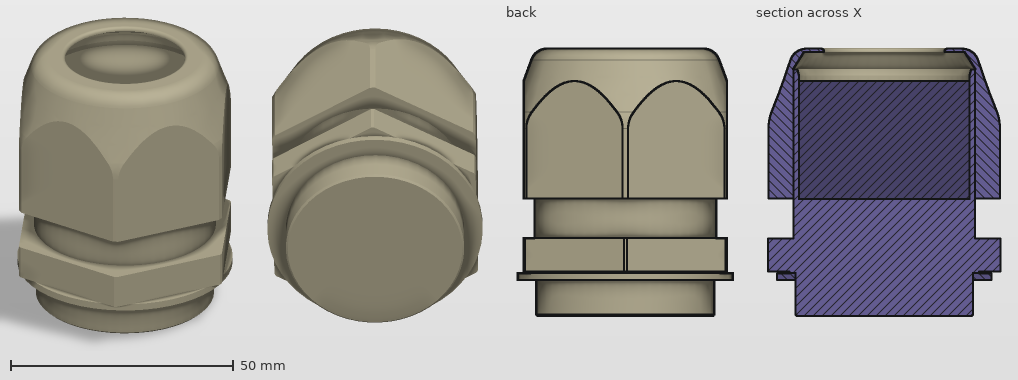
import cadquery as cq
import math

THREAD_TOP = 8.15
WASHER_TOP = 9.7
COLLAR_TOP = 10.1
FLANGE_TOP = 17.6
CAP_BOTTOM = 26.5
CAP_TOP = 60.3
PLUG_TOP = 53.1
BODY_TOP = 55.6

ACROSS_FLATS = 45.85
FLANGE_CORNER_RADIUS = 52.5 / 2
CAP_CORNER_RADIUS = 26.1

THREAD_RADIUS = 20.1
THREAD_CHAMFER = 0.4
COLLAR_RADIUS = 21.4
NECK_RADIUS = 20.5
BORE_RADIUS = 19.2
BORE_FLARE_WIDTH = 0.35
BORE_FLARE_HEIGHT = 1.45
WASHER_RADIUS = 24.25

CONE_ANGLE = math.radians(20)
SHOULDER_BOTTOM = 42.3
SHOULDER_BLEND_RADIUS = 10.75
TOP_BLEND_RADIUS = 3.9

MOUTH_RADIUS = 13.5
LIP_ROUND = 0.8
LIP_THICKNESS = 0.9
CEILING_RADIUS = 18.1


def disc(radius, bottom, top):
    return cq.Workplane("XY").workplane(offset=bottom).circle(radius).extrude(top - bottom)


def hexagon(bottom, top):
    """Hexagonal prism with flats facing +X and -X."""
    full_diameter = ACROSS_FLATS / math.cos(math.pi / 6)
    prism = cq.Workplane("XY").polygon(6, full_diameter).extrude(top - bottom)
    return prism.rotate((0, 0, 0), (0, 0, 1), 30).translate((0, 0, bottom))


def bore_flare():
    """Steep cone that widens the mouth of the bore."""
    return (
        cq.Workplane("XZ")
        .moveTo(0, BODY_TOP - BORE_FLARE_HEIGHT)
        .lineTo(BORE_RADIUS, BODY_TOP - BORE_FLARE_HEIGHT)
        .lineTo(BORE_RADIUS + BORE_FLARE_WIDTH, BODY_TOP)
        .lineTo(0, BODY_TOP)
        .close()
        .revolve(360, (0, 0, 0), (0, 1, 0))
    )


def make_body():
    thread = disc(THREAD_RADIUS, 0, WASHER_TOP).faces("<Z").chamfer(THREAD_CHAMFER)
    collar = disc(COLLAR_RADIUS, WASHER_TOP, COLLAR_TOP)
    flange = hexagon(COLLAR_TOP, FLANGE_TOP).intersect(
        disc(FLANGE_CORNER_RADIUS, COLLAR_TOP, FLANGE_TOP)
    )
    neck = disc(NECK_RADIUS, FLANGE_TOP, BODY_TOP)
    body = thread.union(collar).union(flange).union(neck)
    body = body.cut(disc(BORE_RADIUS, CAP_BOTTOM, BODY_TOP))
    return body.cut(bore_flare())


def make_washer():
    return disc(WASHER_RADIUS, THREAD_TOP, WASHER_TOP).cut(
        disc(THREAD_RADIUS, THREAD_TOP, WASHER_TOP)
    )


def make_plug():
    return disc(BORE_RADIUS, CAP_BOTTOM, PLUG_TOP)


def cap_dome():
    """Turned outer shape of the cap, before its flats are cut."""
    lower_center = CAP_CORNER_RADIUS - SHOULDER_BLEND_RADIUS

    def lower_point(angle):
        radius = lower_center + SHOULDER_BLEND_RADIUS * math.cos(angle)
        return radius, SHOULDER_BOTTOM + SHOULDER_BLEND_RADIUS * math.sin(angle)

    cone_bottom = lower_point(CONE_ANGLE)

    upper_height = CAP_TOP - TOP_BLEND_RADIUS
    cone_top_height = upper_height + TOP_BLEND_RADIUS * math.sin(CONE_ANGLE)
    cone_run = (cone_top_height - cone_bottom[1]) * math.tan(CONE_ANGLE)
    upper_center = cone_bottom[0] - cone_run - TOP_BLEND_RADIUS * math.cos(CONE_ANGLE)

    def upper_point(angle):
        radius = upper_center + TOP_BLEND_RADIUS * math.cos(angle)
        return radius, upper_height + TOP_BLEND_RADIUS * math.sin(angle)

    return (
        cq.Workplane("XZ")
        .moveTo(0, CAP_BOTTOM)
        .lineTo(CAP_CORNER_RADIUS, CAP_BOTTOM)
        .lineTo(CAP_CORNER_RADIUS, SHOULDER_BOTTOM)
        .threePointArc(lower_point(CONE_ANGLE / 2), cone_bottom)
        .lineTo(*upper_point(CONE_ANGLE))
        .threePointArc(upper_point((CONE_ANGLE + math.pi / 2) / 2), upper_point(math.pi / 2))
        .lineTo(0, CAP_TOP)
        .close()
        .revolve(360, (0, 0, 0), (0, 1, 0))
    )


def cap_cavity():
    """Socket for the body neck, tapering to a ceiling under the lip."""
    ceiling = CAP_TOP - LIP_THICKNESS
    return (
        cq.Workplane("XZ")
        .moveTo(0, CAP_BOTTOM)
        .lineTo(NECK_RADIUS, CAP_BOTTOM)
        .lineTo(NECK_RADIUS, BODY_TOP)
        .lineTo(CEILING_RADIUS, ceiling)
        .lineTo(0, ceiling)
        .close()
        .revolve(360, (0, 0, 0), (0, 1, 0))
    )


def cap_mouth():
    """Opening through the lip, with its upper rim rounded outwards."""
    round_center = MOUTH_RADIUS + LIP_ROUND
    arc_offset = LIP_ROUND * math.sqrt(0.5)
    round_bottom = CAP_TOP - LIP_ROUND
    return (
        cq.Workplane("XZ")
        .moveTo(0, CAP_TOP - LIP_THICKNESS)
        .lineTo(MOUTH_RADIUS, CAP_TOP - LIP_THICKNESS)
        .lineTo(MOUTH_RADIUS, round_bottom)
        .threePointArc(
            (round_center - arc_offset, round_bottom + arc_offset),
            (round_center, CAP_TOP),
        )
        .lineTo(0, CAP_TOP)
        .close()
        .revolve(360, (0, 0, 0), (0, 1, 0))
    )


def make_cap():
    outside = hexagon(CAP_BOTTOM, CAP_TOP).intersect(cap_dome())
    return outside.cut(cap_cavity()).cut(cap_mouth())


body = make_body()
washer = make_washer()
plug = make_plug()
cap = make_cap()

result = cq.Compound.makeCompound([body.val(), washer.val(), plug.val(), cap.val()])